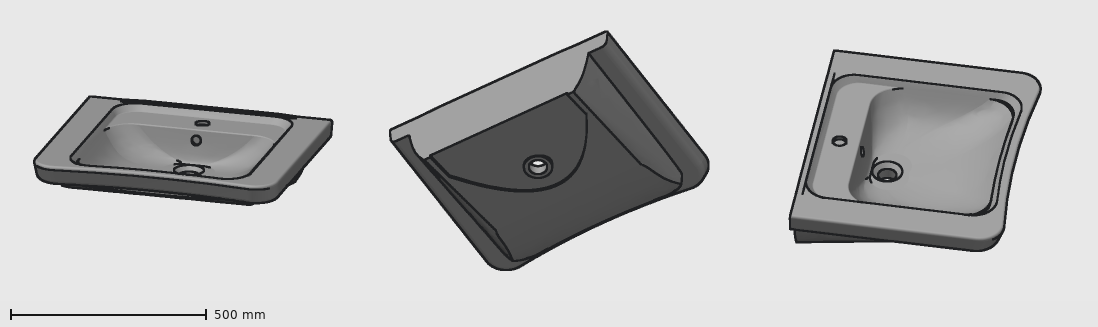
import cadquery as cq
import math


RIM_WIDTH = 648.56
RIM_DEPTH = 544.97
RIM_THICKNESS = 55.0
RIM_FRONT_SAG = 17.3
RIM_CORNER_RADIUS = 60.0
RIM_OVERRUN = 2 * RIM_CORNER_RADIUS
RIM_UPRIGHT = 9.0
RIM_SIDE_DRAFT = 4.0
RIM_FRONT_DRAFT = 17.0
RIM_TOP_FILLET = 7.0
RIM_BOTTOM_FILLET = 17.0

TOTAL_HEIGHT = 182.03
LEDGE_HEIGHT = 2.5
LEDGE_HALF_LENGTH = 233.0
LEDGE_TOP_HALF_LENGTH = 178.0

BODY_BOTTOM = TOTAL_HEIGHT - LEDGE_HEIGHT
BODY_TOP_HALF_WIDTH = 270.0
BODY_TOP_Z = -35.0
BODY_NECK_Z = -40.0
BODY_FRONT = 513.0
BODY_FRONT_SAG = 16.0
BODY_CORNER_RADIUS = 75.0
WALL_SIDE_CURVE = [(263.0, -80.0), (257.0, -107.0), (247.0, -138.0), (228.0, -172.0)]
WALL_FOOT_ARC = [(225.5, -176.5), (222.0, -BODY_BOTTOM)]
FRONT_SIDE_CURVE = [(269.0, -42.0), (267.5, -44.0), (266.0, -46.0), (264.0, -48.0)]
FRONT_FOOT_ARC = [(248.0, -68.0), (213.0, -82.0)]

UNDERSIDE_STRAIGHT_END = (-340.0, -115.5)
UNDERSIDE_CURVE = [(-380.0, -105.5), (-440.0, -90.0), (-480.0, -74.0)]

RECESS_DEPTH = 6.5
RECESS_HALF_WIDTH = 204.0
RECESS_SIDE_LENGTH = 95.0
RECESS_LENGTH = 288.0

OPENING_BACK = 17.0
DECK_Z = -17.0
BOWL_FLOOR_Z = -102.0
OPENING_SECTIONS = [
    (238.0, OPENING_BACK, 511.0, 9.0, 60.0, 0.0),
    (233.0, 22.0, 505.0, 8.0, 58.0, -6.0),
    (225.0, 34.0, 492.0, 6.0, 55.0, DECK_Z),
]
BOWL_SECTIONS = [
    (225.0, 124.0, 492.0, 6.0, 70.0, DECK_Z),
    (203.0, 131.0, 453.0, 5.0, 75.0, -46.0),
    (175.0, 138.0, 402.0, 4.0, 80.0, -71.0),
    (125.0, 146.0, 325.0, 3.0, 70.0, -92.0),
    (70.0, 155.0, 255.0, 3.0, 47.0, BOWL_FLOOR_Z),
]
DECK_EDGE_FILLET = 4.0

TAP_Y = -71.5
TAP_DIAMETER = 36.0
TAP_HOLE_DEPTH = 10.0
DRAIN_Y = -195.0
DRAIN_DIAMETER = 47.0
DRAIN_SEAT_DIAMETER = 77.0
DRAIN_SEAT_DEPTH = 12.0
DRAIN_BOSS_DIAMETER = 73.0
DRAIN_BOSS_BOTTOM = -146.0
OVERFLOW_Z = -44.0
OVERFLOW_DIAMETER = 24.0
OVERFLOW_BACK_Y = -125.0


def rounded_outline(half_width, back, front, sag, radius, z):
    """Closed wire with round corners and a concave front edge tangent to the front corners."""
    corner_x = half_width - radius
    back_y = -back - radius
    front_y = radius - front
    centre_distance = (corner_x**2 + sag**2) / (2 * sag)
    tilt = math.asin(corner_x / centre_distance)

    def front_corner_point(angle):
        return (corner_x + radius * math.cos(angle), front_y - radius * math.sin(angle))

    corner_sweep = math.pi / 2 + tilt
    middle = front_corner_point(corner_sweep / 2)
    tangent = front_corner_point(corner_sweep)
    diagonal = radius * math.sqrt(0.5)
    return (
        cq.Workplane("XY", origin=(0, 0, z))
        .moveTo(-corner_x, -back)
        .lineTo(corner_x, -back)
        .threePointArc((corner_x + diagonal, back_y + diagonal), (half_width, back_y))
        .lineTo(half_width, front_y)
        .threePointArc(middle, tangent)
        .threePointArc((0, sag - front), (-tangent[0], tangent[1]))
        .threePointArc((-middle[0], middle[1]), (-half_width, front_y))
        .lineTo(-half_width, back_y)
        .threePointArc((-corner_x - diagonal, back_y + diagonal), (-corner_x, -back))
        .close()
        .val()
    )


def loft(wires, ruled=False):
    return cq.Workplane(cq.Solid.makeLoft(wires, ruled))


def rim_outline(side_draft, front_draft, z):
    """Rim outline that runs on behind the wall face, where the rim is cut off square."""
    return rounded_outline(
        RIM_WIDTH / 2 - side_draft,
        -RIM_OVERRUN,
        RIM_DEPTH - front_draft,
        RIM_FRONT_SAG,
        RIM_CORNER_RADIUS,
        z,
    )


def make_rim():
    rim = loft(
        [
            rim_outline(0, 0, 0),
            rim_outline(0, 0, -RIM_UPRIGHT),
            rim_outline(RIM_SIDE_DRAFT, RIM_FRONT_DRAFT, -RIM_THICKNESS),
        ],
        ruled=True,
    )
    rim = rim.faces(">Z").edges().fillet(RIM_TOP_FILLET)
    rim = rim.faces("<Z").edges().fillet(RIM_BOTTOM_FILLET)
    in_front_of_wall = cq.Workplane("XY").box(
        RIM_WIDTH, RIM_DEPTH, RIM_THICKNESS, centered=(True, False, False)
    )
    return rim.intersect(in_front_of_wall.translate((0, -RIM_DEPTH, -RIM_THICKNESS)))


def make_ledge():
    outline = [
        (-LEDGE_HALF_LENGTH, 0),
        (-LEDGE_TOP_HALF_LENGTH, LEDGE_HEIGHT),
        (LEDGE_TOP_HALF_LENGTH, LEDGE_HEIGHT),
        (LEDGE_HALF_LENGTH, 0),
    ]
    return cq.Workplane("XZ").polyline(outline).close().extrude(OPENING_BACK)


def underside_profile(offset, bottom):
    """Region between the underside curve, raised by offset, and a horizontal line at bottom."""
    straight_end = (UNDERSIDE_STRAIGHT_END[0], UNDERSIDE_STRAIGHT_END[1] + offset)
    curve = [(y, z + offset) for y, z in UNDERSIDE_CURVE]
    front = (-BODY_FRONT, -RIM_THICKNESS + offset)
    return (
        cq.Workplane("YZ", origin=(-RIM_WIDTH / 2, 0, 0))
        .moveTo(0, bottom)
        .lineTo(0, -BODY_BOTTOM + offset)
        .lineTo(*straight_end)
        .spline(curve + [front], includeCurrent=True)
        .lineTo(-BODY_FRONT, bottom)
        .close()
        .extrude(RIM_WIDTH)
    )


def body_cross_section(y, side_curve, foot_arc):
    """Closed wire across the body at y, with both sides curving in towards the foot."""
    neck = (BODY_TOP_HALF_WIDTH, BODY_NECK_Z)
    side = [neck] + side_curve
    arc_middle, foot = foot_arc
    mirrored_side = [(-x, z) for x, z in reversed(side)]
    return (
        cq.Workplane("XZ", origin=(0, y, 0))
        .moveTo(-neck[0], BODY_TOP_Z)
        .lineTo(neck[0], BODY_TOP_Z)
        .lineTo(*neck)
        .spline(side_curve, includeCurrent=True)
        .threePointArc(arc_middle, foot)
        .lineTo(-foot[0], foot[1])
        .threePointArc((-arc_middle[0], arc_middle[1]), mirrored_side[0])
        .spline(mirrored_side[1:], includeCurrent=True)
        .close()
        .val()
    )


def make_body():
    wall_section = body_cross_section(0, WALL_SIDE_CURVE, WALL_FOOT_ARC)
    front_section = body_cross_section(-BODY_FRONT, FRONT_SIDE_CURVE, FRONT_FOOT_ARC)
    plan_outline = rounded_outline(
        BODY_TOP_HALF_WIDTH, -RIM_OVERRUN, BODY_FRONT, BODY_FRONT_SAG, BODY_CORNER_RADIUS, BODY_TOP_Z
    )
    plan = cq.Workplane(plan_outline).toPending().extrude(-BODY_BOTTOM)
    sides = loft([wall_section, front_section], ruled=True)
    return sides.intersect(plan).intersect(underside_profile(0, BODY_TOP_Z))


def make_recess():
    arch_rise = RECESS_LENGTH - RECESS_SIDE_LENGTH

    def arch_point(t):
        """Point on a parabola from the left side (t = -1) to the right side (t = 1)."""
        return (RECESS_HALF_WIDTH * t, arch_rise * t**2 - RECESS_LENGTH, 0)

    plan = (
        cq.Workplane("XY")
        .parametricCurve(arch_point, start=-1, stop=1, makeWire=False)
        .moveTo(RECESS_HALF_WIDTH, -RECESS_SIDE_LENGTH)
        .lineTo(RECESS_HALF_WIDTH, 0)
        .lineTo(-RECESS_HALF_WIDTH, 0)
        .lineTo(-RECESS_HALF_WIDTH, -RECESS_SIDE_LENGTH)
        .wire()
        .extrude(-TOTAL_HEIGHT)
    )
    return plan.intersect(underside_profile(RECESS_DEPTH, -TOTAL_HEIGHT))


def make_opening():
    return loft([rounded_outline(*section) for section in OPENING_SECTIONS])


def make_bowl():
    return loft([rounded_outline(*section) for section in BOWL_SECTIONS])


def cylinder_down(y, diameter, top, bottom):
    return cq.Workplane("XY", origin=(0, y, top)).circle(diameter / 2).extrude(bottom - top)


def make_drain_seat():
    bottom = cq.Vector(0, DRAIN_Y, BOWL_FLOOR_Z - DRAIN_SEAT_DEPTH)
    return cq.Workplane(
        cq.Solid.makeCone(DRAIN_DIAMETER / 2, DRAIN_SEAT_DIAMETER / 2, DRAIN_SEAT_DEPTH, pnt=bottom)
    )


def make_overflow():
    return (
        cq.Workplane("XZ", origin=(0, OVERFLOW_BACK_Y, OVERFLOW_Z))
        .circle(OVERFLOW_DIAMETER / 2)
        .extrude(OVERFLOW_BACK_Y - DRAIN_Y)
    )


def round_deck_edge(part):
    """Rounds the edge where the tap deck drops into the bowl."""
    half_width, back, _, _, corner, _ = BOWL_SECTIONS[0]
    margin = 1.0
    edge_zone = cq.selectors.BoxSelector(
        (-half_width, -back - corner, DECK_Z - margin), (half_width, -back + margin, DECK_Z + margin)
    )
    return part.edges(edge_zone).fillet(DECK_EDGE_FILLET)


result = make_rim().union(make_ledge()).union(make_body()).cut(make_recess())
result = result.union(cylinder_down(DRAIN_Y, DRAIN_BOSS_DIAMETER, BOWL_FLOOR_Z, DRAIN_BOSS_BOTTOM))
result = result.cut(make_opening()).cut(make_bowl())
result = round_deck_edge(result)
result = result.cut(make_drain_seat())
result = result.cut(cylinder_down(DRAIN_Y, DRAIN_DIAMETER, BOWL_FLOOR_Z, -TOTAL_HEIGHT))
result = result.cut(cylinder_down(TAP_Y, TAP_DIAMETER, DECK_Z, DECK_Z - TAP_HOLE_DEPTH))
result = result.cut(make_overflow())